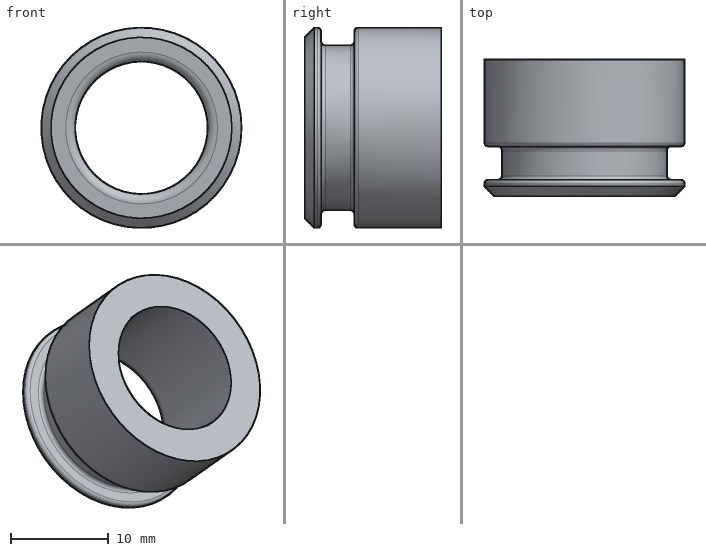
import cadquery as cq

outer_diameter = 20.5
length = 14.0
bore_diameter = 13.5

end_chamfer = 1.0
bore_rounding = 1.0

groove_diameter = 16.9
groove_start = 1.7
groove_width = 3.38
groove_edge_radius = 0.4
groove_floor_radius = 0.4

outer_radius = outer_diameter / 2
bore_radius = bore_diameter / 2
groove_radius = groove_diameter / 2
groove_end = groove_start + groove_width
front_y = -length / 2


def cylinder(radius, start, depth):
    """Cylinder along Y, beginning at a distance from the front end."""
    plane = cq.Workplane("XZ", origin=(0, front_y + start, 0))
    return plane.circle(radius).extrude(-depth)


def edges_at(distance, radius):
    """Selector for circular edges at a distance from the front end, with a given radius."""
    margin = 0.02
    y = front_y + distance
    reach = radius + margin
    inside = cq.selectors.BoxSelector(
        (-reach, y - margin, -reach), (reach, y + margin, reach), boundingbox=True
    )
    smaller = radius - margin
    too_small = cq.selectors.BoxSelector(
        (-smaller, y - margin, -smaller), (smaller, y + margin, smaller), boundingbox=True
    )
    return inside - too_small


sleeve = cylinder(outer_radius, 0, length).cut(cylinder(bore_radius, 0, length))
groove = cylinder(outer_radius, groove_start, groove_width).cut(
    cylinder(groove_radius, groove_start, groove_width)
)
sleeve = sleeve.cut(groove)

sleeve = sleeve.edges(edges_at(0, outer_radius)).chamfer(end_chamfer)
sleeve = sleeve.edges(edges_at(0, bore_radius)).fillet(bore_rounding)

for wall in (groove_start, groove_end):
    sleeve = sleeve.edges(edges_at(wall, outer_radius)).fillet(groove_edge_radius)
    sleeve = sleeve.edges(edges_at(wall, groove_radius)).fillet(groove_floor_radius)

result = sleeve